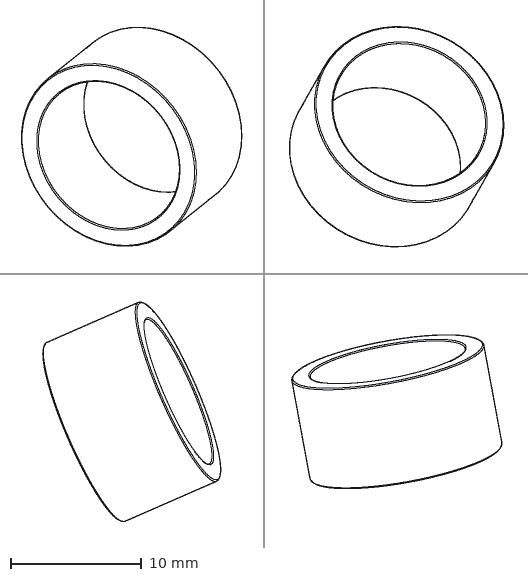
import cadquery as cq

outer_diameter = 14.95
bore_diameter = 12.05
length = 8.0
edge_chamfer = 0.1

tube = (
    cq.Workplane("XZ", origin=(0, length / 2, 0))
    .circle(outer_diameter / 2)
    .circle(bore_diameter / 2)
    .extrude(length)
)

result = tube.faces("<Y or >Y").edges().chamfer(edge_chamfer)